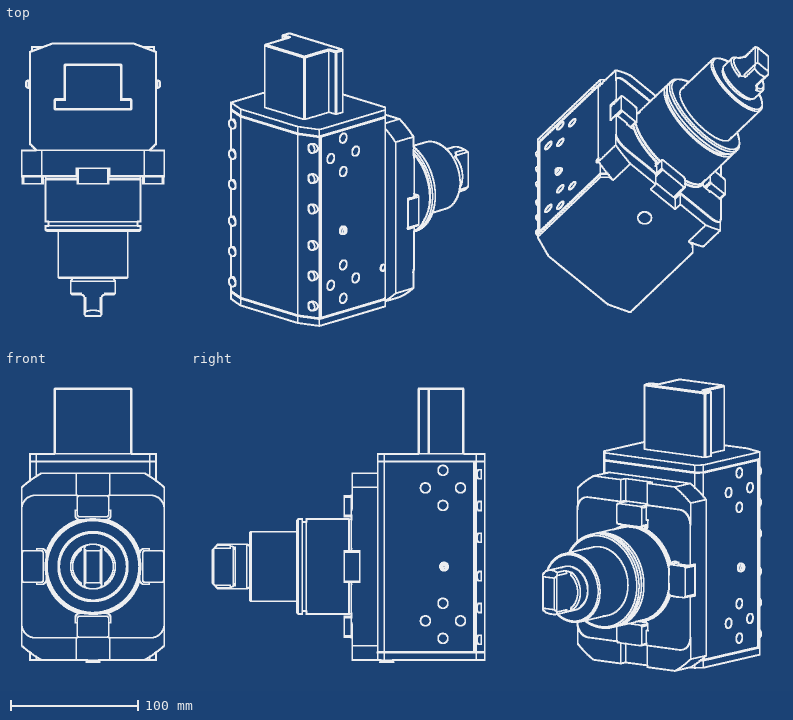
import cadquery as cq
import math


joint_overlap = 2.2

flange_thickness = 20.0
housing_front = flange_thickness
housing_back = 104.2
housing_half_width = 49.5
housing_top = 88.5
housing_bottom = -73.5
housing_mid_height = (housing_top + housing_bottom) / 2
front_chamfer = 5.0
back_flat_half_width = 31.9
back_chamfer_depth = 6.7
cover_thickness = 6.0
seam_width = 0.6
seam_depth = 0.5
side_seam_y = 95.8

flange_half_width = 56.0
flange_half_height = 73.5
flange_corner_radius = 83.8
pad_half_size = 56.0
pad_corner_radius = 10.8
pad_height = 0.6

key_width = 25.0
key_inner = 39.2
key_outer = 55.5
key_projection = 6.2
key_chamfer = 1.0
slot_depth = 6.0
slot_entry_width = 26.3
relief_width = 28.0
relief_outer = 44.1
relief_inner = 36.8
relief_corner_radius = 3.5

shank_diameter = 75.0
shank_root_diameter = 74.5
shank_root_end = 2.2
shank_root_chamfer = 0.6
shank_clearance_diameter = 76.7
groove_diameter = 70.2
groove_start = 36.0
groove_end = 39.2
collar_end = 43.5
collar_chamfer = 1.3
nose_diameter = 55.0
nose_end = 80.5
nose_chamfer = 1.0
drive_diameter = 35.0
drive_neck_diameter = 32.5
drive_neck_end = 82.7
drive_end = 93.5
drive_chamfer = 1.5

tang_thickness = 13.8
tang_end = 110.0
tang_root_radius = 2.2
tang_tip_chamfer = 1.3
tang_end_bevel_depth = 4.5
tang_end_bevel_height = 5.0
tang_edge_chamfer_across = 2.0
tang_edge_chamfer_along = 3.0

block_top = 140.2
block_front = 52.0
block_lip_back = 60.5
block_back = 87.6
block_lip_half_width = 30.4
block_web_half_width = 22.6
block_chamfer = 0.9

screw_diameter = 7.3
screw_x = 44.4
screw_head_y = 101.5
screw_root_y = 94.7
screw_offsets = (15.0, 40.0, 65.0)
nipple_y = 72.1
nipple_base_radius = 3.2
nipple_base_length = 1.0
nipple_neck_radius = 2.4
nipple_neck_length = 2.5
nipple_tip_radius = 1.0
nipple_length = 3.5
spot_diameter = 7.8
spot_depth = 0.2
spot_circle_radius = 13.8
spot_circle_y = 71.3
spot_circle_heights = (61.8, -42.6)
pilot_y = 27.1
pilot_z = -41.1
pilot_diameter = 5.2
pilot_depth = 0.6
foot_diameter = 10.8
foot_root_diameter = 8.6
foot_height = 1.7


def box(x0, x1, y0, y1, z0, z1):
    """Box between two opposite corners."""
    return cq.Workplane("XY").box(x1 - x0, y1 - y0, z1 - z0, centered=False).translate((x0, y0, z0))


def rod_along_y(diameter, y0, y1, x=0.0, z=0.0):
    """Cylinder parallel to the Y axis."""
    rod = cq.Workplane("XZ").circle(diameter / 2).extrude(y0 - y1)
    return rod.translate((x, y0, z))


def housing_prism(inset, z0, z1):
    """Upright prism with the housing outline, moved inward by inset."""
    half = [
        (housing_half_width - front_chamfer, housing_front),
        (housing_half_width, housing_front + front_chamfer),
        (housing_half_width, housing_back - back_chamfer_depth),
        (back_flat_half_width, housing_back),
    ]
    outline = half + [(-x, y) for x, y in reversed(half)]
    sketch = cq.Workplane("XY").workplane(offset=z0).polyline(outline).close()
    if inset > 0:
        sketch = sketch.offset2D(-inset)
    return sketch.extrude(z1 - z0)


def make_housing():
    """Housing with shallow seams around the covers and along the sides."""
    housing = housing_prism(0, housing_bottom, housing_top)
    lower_seam = housing_bottom + cover_thickness
    upper_seam = housing_top - cover_thickness
    for z in (lower_seam, upper_seam):
        z0 = z - seam_width / 2
        z1 = z + seam_width / 2
        ring = housing_prism(0, z0, z1).cut(housing_prism(seam_depth, z0, z1))
        housing = housing.cut(ring)
    for side in (-1, 1):
        seam = cq.Workplane("XY").box(2 * seam_depth, seam_width, upper_seam - lower_seam)
        housing = housing.cut(seam.translate((side * housing_half_width, side_seam_y, housing_mid_height)))
    return housing


def make_flange():
    """Flange with corners on one large circle, and a raised square pad open around the shank."""
    flange = box(-flange_half_width, flange_half_width, 0, flange_thickness,
                 -flange_half_height, flange_half_height)
    flange = flange.intersect(rod_along_y(2 * flange_corner_radius, 0, flange_thickness))
    pad = box(-pad_half_size, pad_half_size, -pad_height, joint_overlap, -pad_half_size, pad_half_size)
    flange = flange.union(pad.edges("|Y").fillet(pad_corner_radius))
    return flange.cut(rod_along_y(shank_clearance_diameter, -pad_height, 0))


def key_slot():
    """Slot above the axis, open outward, with a wider relief at its inner end."""
    slot = box(-key_width / 2, key_width / 2, -pad_height, slot_depth, key_inner, pad_half_size)
    relief = box(-relief_width / 2, relief_width / 2, -pad_height, slot_depth, relief_inner, relief_outer)
    relief = relief.edges("|Y and <Z").fillet(relief_corner_radius)
    return slot.union(relief)


def slot_entry():
    """Wider outer end of an upright slot, beyond the pad."""
    return box(-slot_entry_width / 2, slot_entry_width / 2, 0, slot_depth, pad_half_size, flange_half_height)


def drive_key():
    """Key above the axis, standing in its slot."""
    key = box(-key_width / 2, key_width / 2, -key_projection, slot_depth, key_inner, key_outer)
    return key.edges("|Y").chamfer(key_chamfer)


def make_spindle():
    """Stepped round shank with collar groove, nose and drive end."""
    profile = [
        (0, -joint_overlap),
        (shank_root_diameter / 2, -joint_overlap),
        (shank_root_diameter / 2, shank_root_end),
        (shank_diameter / 2, shank_root_end + shank_root_chamfer),
        (shank_diameter / 2, groove_start),
        (groove_diameter / 2, groove_start),
        (groove_diameter / 2, groove_end),
        (shank_diameter / 2, groove_end),
        (shank_diameter / 2, collar_end - collar_chamfer),
        (shank_diameter / 2 - collar_chamfer, collar_end),
        (nose_diameter / 2, collar_end),
        (nose_diameter / 2, nose_end - nose_chamfer),
        (nose_diameter / 2 - nose_chamfer, nose_end),
        (drive_neck_diameter / 2, nose_end),
        (drive_diameter / 2, drive_neck_end),
        (drive_diameter / 2, drive_end - drive_chamfer),
        (drive_diameter / 2 - drive_chamfer, drive_end),
        (0, drive_end),
    ]
    outline = [(radius, -distance) for radius, distance in profile]
    return cq.Workplane("XY").polyline(outline).close().revolve(360, (0, 0, 0), (0, 1, 0))


def make_tang():
    """Flat tang cut from the drive diameter, with root fillets and a bevelled tip."""
    half = tang_thickness / 2
    radius = drive_diameter / 2
    root = -drive_end
    tip = -tang_end
    bend = tang_root_radius * (1 - math.sqrt(0.5))
    flare = half + tang_root_radius
    side_profile = (
        cq.Workplane("XY").workplane(offset=-radius)
        .moveTo(-flare, root)
        .threePointArc((-half - bend, root - bend), (-half, root - tang_root_radius))
        .lineTo(-half, tip + tang_tip_chamfer)
        .lineTo(-half + tang_tip_chamfer, tip)
        .lineTo(half - tang_tip_chamfer, tip)
        .lineTo(half, tip + tang_tip_chamfer)
        .lineTo(half, root - tang_root_radius)
        .threePointArc((half + bend, root - bend), (flare, root))
        .lineTo(flare, root + joint_overlap)
        .lineTo(-flare, root + joint_overlap)
        .close()
        .extrude(2 * radius)
    )
    bevelled = (
        cq.Workplane("YZ").workplane(offset=-radius)
        .polyline([
            (root + joint_overlap, -radius),
            (tip + tang_end_bevel_depth, -radius),
            (tip, -radius + tang_end_bevel_height),
            (tip, radius - tang_end_bevel_height),
            (tip + tang_end_bevel_depth, radius),
            (root + joint_overlap, radius),
        ])
        .close()
        .extrude(2 * radius)
    )
    tang = side_profile.intersect(bevelled)
    tang = tang.intersect(rod_along_y(drive_diameter, tip, root + drive_chamfer))
    beyond_fillet = box(-radius, radius, tip, root - tang_root_radius, -radius, radius)
    for side_x in (-1, 1):
        for side_z in (-1, 1):
            corner = (
                cq.Workplane("XZ")
                .polyline([
                    (side_x * half, side_z * (radius - tang_edge_chamfer_along)),
                    (side_x * half, side_z * radius),
                    (side_x * (half - tang_edge_chamfer_across), side_z * radius),
                ])
                .close()
                .extrude(tang_end)
            )
            tang = tang.cut(corner.intersect(beyond_fillet))
    return tang


def make_block():
    """T-shaped block rising from inside the housing, with its outer edges chamfered."""
    half = [
        (block_lip_half_width, block_front),
        (block_lip_half_width, block_lip_back),
        (block_web_half_width, block_lip_back),
        (block_web_half_width, block_back),
    ]
    outline = half + [(-x, y) for x, y in reversed(half)]
    block = cq.Workplane("XY").polyline(outline).close().extrude(block_top)
    outer_edges = "<X or >X or <Y or >Y"
    block = block.edges("|Z").edges(outer_edges).chamfer(block_chamfer)
    return block.faces(">Z").chamfer(block_chamfer)


def make_nipple():
    """Lubrication nipple on the +X side, turned about an axis parallel to X."""
    profile = [
        (-joint_overlap, 0),
        (-joint_overlap, nipple_base_radius),
        (nipple_base_length, nipple_base_radius),
        (nipple_neck_length, nipple_neck_radius),
        (nipple_length, nipple_tip_radius),
        (nipple_length, 0),
    ]
    nipple = cq.Workplane("XY").polyline(profile).close().revolve(360, (0, 0, 0), (1, 0, 0))
    return nipple.translate((housing_half_width, nipple_y, 0))


def side_recess(diameter, depth, y, z):
    """Round recess in the -X side of the housing."""
    cutter = cq.Workplane("YZ").circle(diameter / 2).extrude(depth)
    return cutter.translate((-housing_half_width, y, z))


def make_foot():
    """Short foot under the housing, flaring downward."""
    foot = cq.Workplane("XY").circle(foot_root_diameter / 2)
    foot = foot.workplane(offset=-foot_height).circle(foot_diameter / 2).loft()
    return foot.translate((0, pilot_y, housing_bottom))


def cut_side_recesses(body):
    """Two crosses of round spots on each side and one small recess on the -X side."""
    for centre_z in spot_circle_heights:
        for quarter in range(4):
            angle = quarter * math.pi / 2
            y = spot_circle_y + spot_circle_radius * math.cos(angle)
            z = centre_z + spot_circle_radius * math.sin(angle)
            spot = side_recess(spot_diameter, spot_depth, y, z)
            body = body.cut(spot).cut(spot.mirror("YZ"))
    return body.cut(side_recess(pilot_diameter, pilot_depth, pilot_y, pilot_z))


result = cut_side_recesses(make_housing()).union(make_flange())
for turn in range(4):
    angle = 90 * turn
    result = result.cut(key_slot().rotate((0, 0, 0), (0, 1, 0), angle))
    result = result.union(drive_key().rotate((0, 0, 0), (0, 1, 0), angle))
for angle in (0, 180):
    result = result.cut(slot_entry().rotate((0, 0, 0), (0, 1, 0), angle))

result = result.union(make_spindle()).union(make_tang()).union(make_block()).union(make_foot())

for side in (-1, 1):
    for direction in (-1, 1):
        for offset in screw_offsets:
            screw_z = housing_mid_height + direction * offset
            screw = rod_along_y(screw_diameter, screw_root_y, screw_head_y, side * screw_x, screw_z)
            result = result.union(screw)
nipple = make_nipple()
result = result.union(nipple).union(nipple.mirror("YZ"))